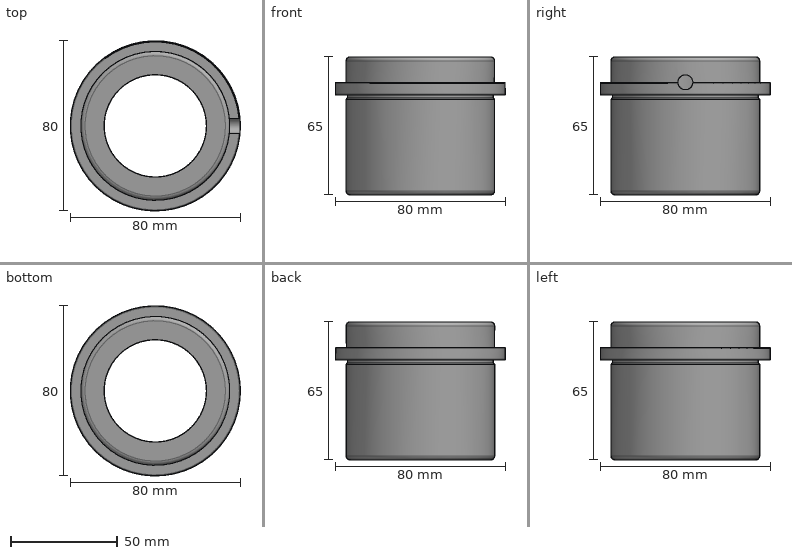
import cadquery as cq

total_height = 65.0
bore_diameter = 48.0
body_diameter = 70.0
end_fillet = 2.0

flange_diameter = 80.0
flange_bottom = 47.0
flange_height = 6.0
rim_fillet = 0.5

groove_depth = 0.67
groove_height = 2.0

radial_hole_diameter = 7.0

body_radius = body_diameter / 2
groove_radius = body_radius - groove_depth
flange_radius = flange_diameter / 2
flange_top = flange_bottom + flange_height
groove_bottom = flange_bottom - groove_height


def cylinder(radius, bottom, top):
    """Solid cylinder about the Z axis between two heights."""
    return cq.Workplane("XY").workplane(offset=bottom).circle(radius).extrude(top - bottom)


def make_lower_body():
    """Seat below the groove with a rounded bottom edge."""
    return cylinder(body_radius, 0, groove_bottom).faces("<Z").edges().fillet(end_fillet)


def make_groove_core():
    """Floor of the relief groove, flaring down to the seat at 45 degrees."""
    profile = (
        cq.Workplane("XZ")
        .moveTo(0, groove_bottom)
        .lineTo(body_radius, groove_bottom)
        .lineTo(groove_radius, groove_bottom + groove_depth)
        .lineTo(groove_radius, flange_bottom)
        .lineTo(0, flange_bottom)
        .close()
    )
    return profile.revolve(360, (0, 0, 0), (0, 1, 0))


def make_flange():
    """Collar with both rims rounded."""
    flange = cylinder(flange_radius, flange_bottom, flange_top)
    return flange.edges().fillet(rim_fillet)


def make_upper_body():
    """Spigot above the flange with a rounded top edge."""
    return cylinder(body_radius, flange_top, total_height).faces(">Z").edges().fillet(end_fillet)


def make_bore():
    """Through bore."""
    return cylinder(bore_diameter / 2, 0, total_height)


def make_radial_hole():
    """Hole from the bore outward, leaving a half-round channel across the flange."""
    section = cq.Workplane("YZ").center(0, flange_top).circle(radial_hole_diameter / 2)
    return section.extrude(flange_radius)


sleeve = make_lower_body()
sleeve = sleeve.union(make_groove_core())
sleeve = sleeve.union(make_flange())
sleeve = sleeve.union(make_upper_body())
sleeve = sleeve.cut(make_bore())
result = sleeve.cut(make_radial_hole())